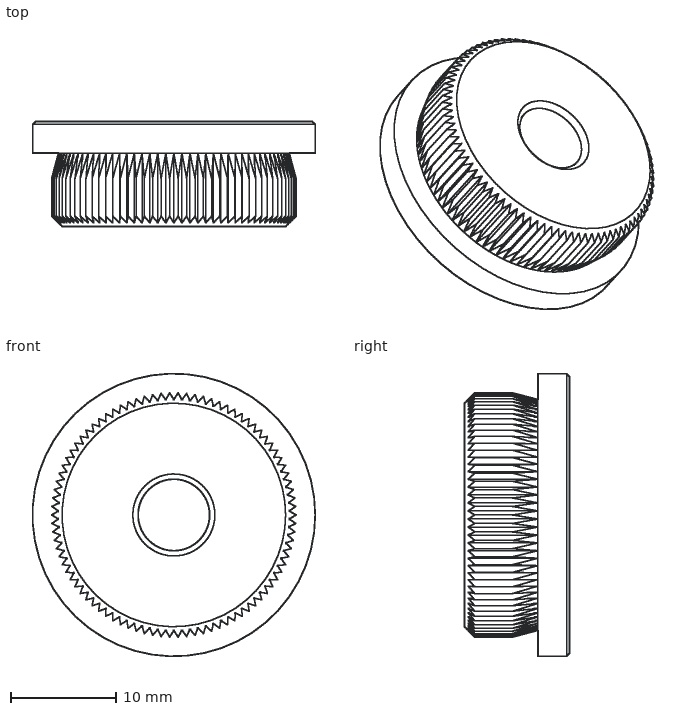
import cadquery as cq
import math

flange_radius = 13.45
flange_thickness = 3.0
flange_chamfer = 0.3
total_length = 10.0

hole_radius = 3.4
countersink_radius = 3.9

tooth_count = 90
tip_radius = 11.62
root_radius = 10.98
lead_in_chamfer = 1.0
neck_taper_length = 2.42

spigot_length = total_length - flange_thickness


def on_axis_plane(offset):
    """Workplane across the Y axis at y = offset, drawing toward -Y."""
    return cq.Workplane("XZ", origin=(0, offset, 0))


def make_flange():
    """Plain disc from y = 0 to the back face, chamfered on its back rim."""
    disc = on_axis_plane(flange_thickness).circle(flange_radius).extrude(flange_thickness)
    return disc.faces(">Y").edges().chamfer(flange_chamfer)


def make_toothed_bar():
    """Straight bar with sharp V teeth; a tip points along +X."""
    points = []
    for index in range(2 * tooth_count):
        radius = root_radius if index % 2 else tip_radius
        angle = math.pi * index / tooth_count
        points.append((radius * math.cos(angle), radius * math.sin(angle)))
    return on_axis_plane(0).polyline(points).close().extrude(spigot_length)


def make_spigot_envelope():
    """Turned limit of the teeth: neck taper from the root radius, cylinder, lead-in chamfer."""
    profile = [
        (0, 0),
        (root_radius, 0),
        (tip_radius, -neck_taper_length),
        (tip_radius, -spigot_length + lead_in_chamfer),
        (tip_radius - lead_in_chamfer, -spigot_length),
        (0, -spigot_length),
    ]
    return cq.Workplane("XY").polyline(profile).close().revolve(360, (0, 0, 0), (0, 1, 0))


def make_hole_cutter():
    """Through hole with a 45 degree countersink at the spigot face."""
    countersink_depth = countersink_radius - hole_radius
    profile = [
        (0, flange_thickness),
        (hole_radius, flange_thickness),
        (hole_radius, -spigot_length + countersink_depth),
        (countersink_radius, -spigot_length),
        (0, -spigot_length),
    ]
    return cq.Workplane("XY").polyline(profile).close().revolve(360, (0, 0, 0), (0, 1, 0))


spigot = make_spigot_envelope().intersect(make_toothed_bar())
result = make_flange().union(spigot).cut(make_hole_cutter())